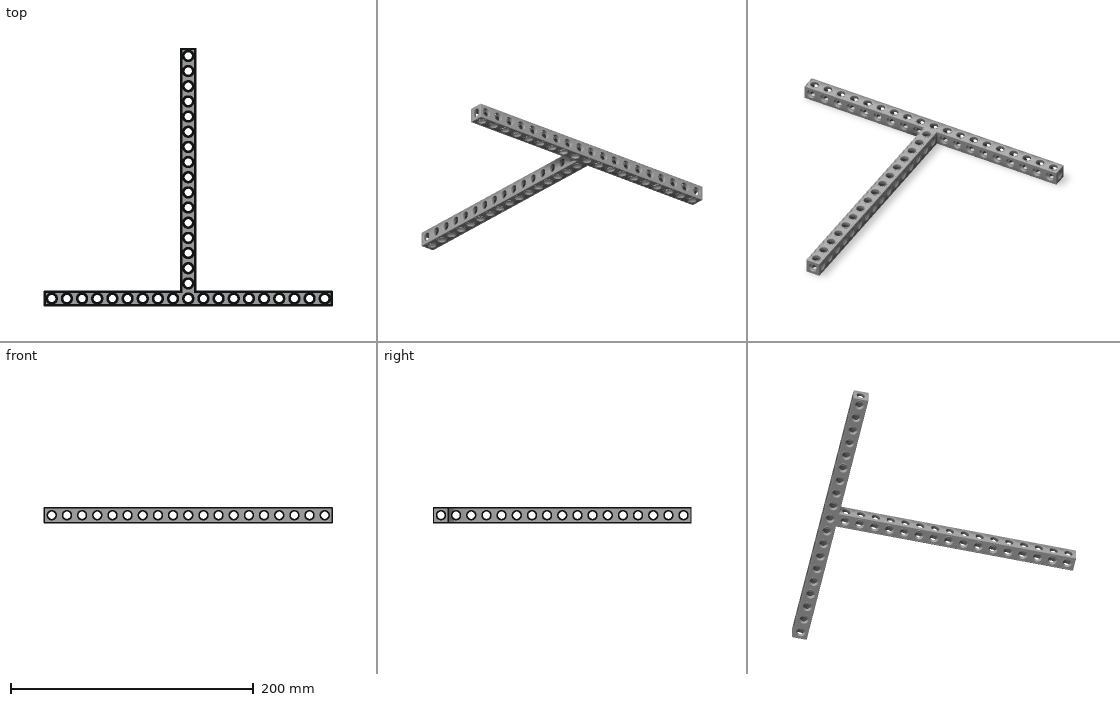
import cadquery as cq

LENGTH = 237.5
BAR_CELLS = 19
ARM_CELLS = 16
PITCH = LENGTH / BAR_CELLS
ARM_END = (ARM_CELLS + 0.5) * PITCH

HOLE_DIAMETER = 7.0
SINK_DIAMETER = 7.5
SINK_DEPTH = (SINK_DIAMETER - HOLE_DIAMETER) / 2

EDGE_CHAMFER = 0.3
RIM_WIDTH = 0.83
RECESS_DEPTH = 0.2
RECESS_INSET = EDGE_CHAMFER + RIM_WIDTH
HOLE_RIM_DIAMETER = SINK_DIAMETER + 2 * RIM_WIDTH

bar_positions = [(i - (BAR_CELLS - 1) / 2) * PITCH for i in range(BAR_CELLS)]
arm_positions = [(j + 1) * PITCH for j in range(ARM_CELLS)]
hole_centers = [(x, 0) for x in bar_positions] + [(0, y) for y in arm_positions]


def tee(inset, height):
    """T-shaped prism centred on Z = 0, its outline moved inwards by inset."""
    width = PITCH - 2 * inset
    arm_length = ARM_END - inset
    bar = cq.Workplane("XY").box(LENGTH - 2 * inset, width, height)
    arm = cq.Workplane("XY").box(width, arm_length, height).translate((0, arm_length / 2, 0))
    return bar.union(arm).clean()


def chamfered_body():
    """T with chamfers on its outer vertical corners and on its top and bottom outlines."""
    body = tee(0, PITCH)
    body = body.edges("|Z and (<X or >X or >Y)").chamfer(EDGE_CHAMFER)
    return body.faces("<Z or >Z").chamfer(EDGE_CHAMFER)


def recess_cutter():
    """Shallow floor around the hole rims, as cut into the top face."""
    rims = cq.Workplane("XY").pushPoints(hole_centers).circle(HOLE_RIM_DIAMETER / 2)
    floor = tee(RECESS_INSET, RECESS_DEPTH).cut(rims.extrude(RECESS_DEPTH, both=True))
    return floor.translate((0, 0, (PITCH - RECESS_DEPTH) / 2))


def hole_cutter(start, direction, length):
    """Through hole from start along direction, countersunk at both ends."""
    hole_radius = HOLE_DIAMETER / 2
    sink_radius = SINK_DIAMETER / 2
    start = cq.Vector(*start)
    direction = cq.Vector(*direction)
    end = start + direction * length
    bore = cq.Solid.makeCylinder(hole_radius, length, start, direction)
    near_sink = cq.Solid.makeCone(sink_radius, hole_radius, SINK_DEPTH, start, direction)
    far_sink = cq.Solid.makeCone(sink_radius, hole_radius, SINK_DEPTH, end, direction * -1)
    return bore.fuse(near_sink, far_sink)


def all_holes():
    """Holes along Z, along the width of each beam, and lengthwise through each beam."""
    half = PITCH / 2
    along_x = (1, 0, 0)
    along_y = (0, 1, 0)
    along_z = (0, 0, 1)
    holes = [hole_cutter((x, y, -half), along_z, PITCH) for x, y in hole_centers]
    for i, x in enumerate(bar_positions):
        far_y = ARM_END if i == BAR_CELLS // 2 else half
        holes.append(hole_cutter((x, -half, 0), along_y, far_y + half))
    for y in arm_positions:
        holes.append(hole_cutter((-half, y, 0), along_x, PITCH))
    holes.append(hole_cutter((-LENGTH / 2, 0, 0), along_x, LENGTH))
    return holes


top_recess = recess_cutter()
bottom_recess = top_recess.mirror("XY")
body = chamfered_body().cut(top_recess).cut(bottom_recess)
result = cq.Workplane(body.val().cut(*all_holes())).solids()